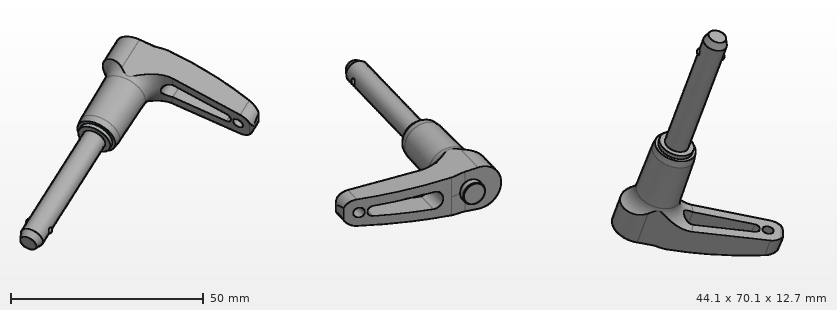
import cadquery as cq
import math

total_length = 70.1

pin_radius = 3.2
tip_radius = 2.4
tip_length = 2.1
ball_radius = 1.1
ball_offset = 2.6
ball_y = 6.25

flange_radius = 4.7
flange_front_y = 37.9
grip_front_y = 39.1
grip_front_radius = 5.55
grip_taper_y = 41.1
grip_taper_radius = 5.8
grip_back_y = 55.25
grip_back_radius = 6.1
flare_radius = 5.95
flare_outer_radius = grip_back_radius + flare_radius
button_chamfer = 0.2

head_radius = 6.345
head_x = -2.5
end_radius = 4.1
end_x = 31.25
handle_tip_x = end_x + end_radius
slot_inner_radius = 2.6
slot_inner_x = 10.9
slot_outer_radius = 1.55
slot_outer_x = 27.3
lanyard_hole_radius = 1.5
lanyard_hole_x = 31.0

head_top_y = 68.0
head_flat_end_x = 1.8
crest_x = 6.0
crest_y = 68.55
back_mid_x = 19.3
back_mid_y = 67.45
back_end_x = handle_tip_x - 0.4
back_end_y = 63.8
underside_tip_y = 59.15
underside_y = grip_back_y + flare_radius
underside_bend_x = 10.7
tip_corner_radius = 0.85


def tapered_slot(x_a, radius_a, x_b, radius_b):
    """Extrude two circles and their outer tangents through the full Y length."""
    taper = math.asin((radius_a - radius_b) / (x_b - x_a))
    rise = math.cos(taper)
    shift = math.sin(taper)
    ax, az = x_a + radius_a * shift, radius_a * rise
    bx, bz = x_b + radius_b * shift, radius_b * rise
    return (
        cq.Workplane("XZ")
        .moveTo(ax, az)
        .lineTo(bx, bz)
        .threePointArc((x_b + radius_b, 0), (bx, -bz))
        .lineTo(ax, -az)
        .threePointArc((x_a - radius_a, 0), (ax, az))
        .close()
        .extrude(-total_length)
    )


def revolve_about_pin(profile):
    return profile.close().revolve(360, (0, 0, 0), (0, 1, 0))


def make_handle():
    head_left_x = head_x - head_radius
    bar = (
        cq.Workplane("XY")
        .moveTo(head_left_x, underside_y)
        .lineTo(head_left_x, head_top_y)
        .lineTo(head_flat_end_x, head_top_y)
        .spline([(crest_x, crest_y)], tangents=[(1, 0), (1, 0)], includeCurrent=True)
        .threePointArc((back_mid_x, back_mid_y), (back_end_x, back_end_y))
        .lineTo(handle_tip_x, underside_tip_y)
        .lineTo(underside_bend_x, underside_y)
        .close()
        .extrude(head_radius, both=True)
        .edges(cq.selectors.NearestToPointSelector((handle_tip_x, underside_tip_y, 0)))
        .fillet(tip_corner_radius)
    )
    arc_offset = flare_radius * math.sqrt(0.5)
    flare = revolve_about_pin(
        cq.Workplane("XY")
        .moveTo(0, grip_back_y)
        .lineTo(grip_back_radius, grip_back_y)
        .threePointArc(
            (flare_outer_radius - arc_offset, grip_back_y + arc_offset),
            (flare_outer_radius, underside_y),
        )
        .lineTo(0, underside_y)
    )
    outline = tapered_slot(head_x, head_radius, end_x, end_radius)
    slot = tapered_slot(slot_inner_x, slot_inner_radius, slot_outer_x, slot_outer_radius)
    lanyard_hole = (
        cq.Workplane("XZ")
        .center(lanyard_hole_x, 0)
        .circle(lanyard_hole_radius)
        .extrude(-total_length)
    )
    return bar.union(flare).intersect(outline).cut(slot).cut(lanyard_hole)


def make_grip():
    return revolve_about_pin(
        cq.Workplane("XY")
        .moveTo(0, flange_front_y)
        .lineTo(flange_radius, flange_front_y)
        .lineTo(flange_radius, grip_front_y)
        .lineTo(grip_front_radius, grip_front_y)
        .lineTo(grip_taper_radius, grip_taper_y)
        .lineTo(grip_back_radius, grip_back_y)
        .lineTo(0, grip_back_y)
    )


def make_pin():
    """Pin with a conical tip, running through the handle to the release button."""
    pin = revolve_about_pin(
        cq.Workplane("XY")
        .lineTo(tip_radius, 0)
        .lineTo(pin_radius, tip_length)
        .lineTo(pin_radius, total_length - button_chamfer)
        .lineTo(pin_radius - button_chamfer, total_length)
        .lineTo(0, total_length)
    )
    for side in (-1, 1):
        ball = cq.Workplane("XY").sphere(ball_radius)
        pin = pin.union(ball.translate((side * ball_offset, ball_y, 0)))
    return pin


result = make_handle().union(make_grip()).union(make_pin())